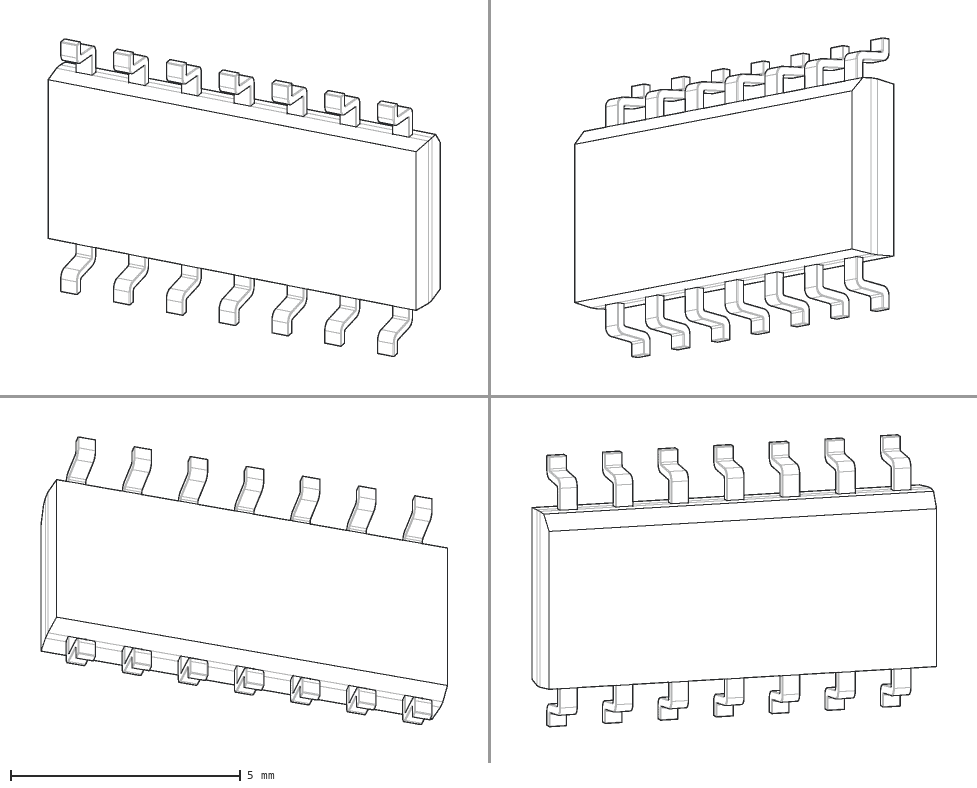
import cadquery as cq
import math

body_length = 8.95
body_height = 3.9
body_thickness = 1.25
back_y = 0.75
front_y = back_y - body_thickness
draft_angle = 5.0
back_chamfer = 0.3

lead_count = 7
lead_pitch = 1.27
lead_width = 0.4
lead_thickness = 0.2
lead_span = 6.0
foot_y = -0.75
foot_length = 0.31
arm_angle = 5.0
outer_bend_radius = 0.2
inner_bend_radius = 0.045
lead_edge_radius = 0.02

mid_y = (back_y + front_y) / 2
band_back_y = mid_y + lead_thickness / 2
band_front_y = mid_y - lead_thickness / 2
draft_depth = (body_thickness - lead_thickness) / 2


def tapered_half(start_y, direction):
    """Drafted slab that grows from the parting band toward +Y or -Y."""
    plane = cq.Plane(origin=(0, start_y, 0), xDir=(1, 0, 0), normal=(0, direction, 0))
    return cq.Workplane(plane).rect(body_length, body_height).extrude(draft_depth, taper=draft_angle)


def round_bends(lead, corners, radius):
    """Round the edges along X at the given (y, z) corners and at their mirror images below."""
    points = [(0, y, sign * z) for y, z in corners for sign in (1, -1)]
    edges = [lead.edges("|X").edges(cq.NearestToPointSelector(point)).val() for point in points]
    return lead.newObject(edges).fillet(radius)


def make_lead(x):
    """One lead that runs straight through the housing and bends forward to a foot at both ends."""
    tilt = math.radians(arm_angle)
    foot_end_z = lead_span / 2
    foot_inner_y = foot_y + lead_thickness
    arm_drop = lead_thickness / math.cos(tilt)

    def arm_top_z(y):
        return foot_end_z - foot_length + (foot_inner_y - y) * math.tan(tilt)

    def arm_underside_z(y):
        return arm_top_z(y) - arm_drop

    shoulder_inner = (band_front_y, arm_underside_z(band_front_y))
    foot_outer = (foot_y, arm_underside_z(foot_y))
    foot_inner = (foot_inner_y, arm_top_z(foot_inner_y))
    shoulder_outer = (band_back_y, arm_top_z(band_back_y))
    upper_corners = [
        shoulder_inner,
        foot_outer,
        (foot_y, foot_end_z),
        (foot_inner_y, foot_end_z),
        foot_inner,
        shoulder_outer,
    ]
    lower_corners = [(y, -z) for y, z in reversed(upper_corners)]
    outline = cq.Workplane("YZ").polyline(upper_corners + lower_corners).close()
    lead = outline.extrude(lead_width / 2, both=True)

    lead = round_bends(lead, [foot_outer, shoulder_outer], outer_bend_radius)
    lead = round_bends(lead, [foot_inner, shoulder_inner], inner_bend_radius)
    lead = lead.faces("<X or >X or <Z or >Z").edges().fillet(lead_edge_radius)
    return lead.translate((x, 0, 0))


def make_housing(leads):
    """Drafted housing, beveled along its upper back edge, with a through slot for every lead."""
    band = cq.Workplane("XY").box(body_length, lead_thickness, body_height).translate((0, mid_y, 0))
    housing = band.union(tapered_half(band_back_y, 1)).union(tapered_half(band_front_y, -1))
    housing = housing.faces(">Y").edges(">Z").chamfer(back_chamfer)
    for lead in leads:
        housing = housing.cut(lead)
    return housing


leads = [make_lead((i - (lead_count - 1) / 2) * lead_pitch) for i in range(lead_count)]
housing = make_housing(leads)

result = cq.Compound.makeCompound([housing.val(), *[lead.val() for lead in leads]])